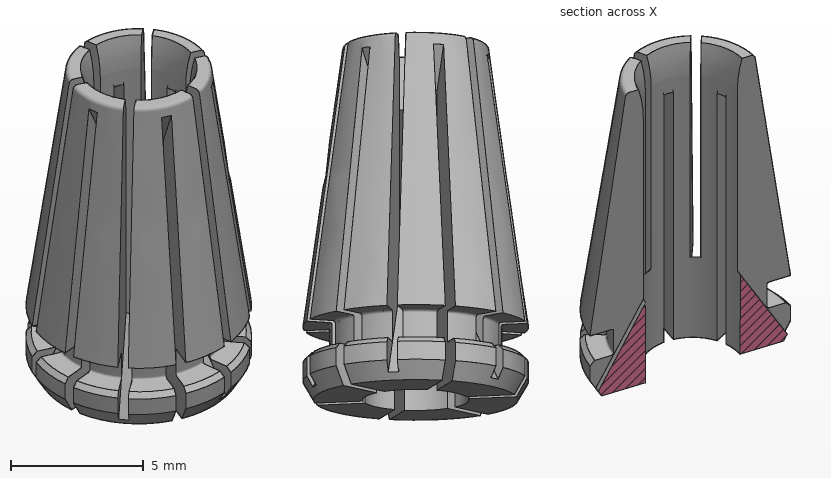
import cadquery as cq
import math

total_height = 13.6
max_radius = 4.25
bore_radius = 2.0

cone_base_z = 2.8
cone_half_angle = 8.0
cone_top_fillet = 0.2

groove_radius = 3.25
groove_fillet = 0.1

collar_top_z = 1.6
collar_top_chamfer = 0.2
collar_taper_height = 0.7
collar_taper_angle = 30.0

mouth_radius = 2.2
mouth_depth = 1.4

slots_per_end = 6
slot_width = 0.4
slot_pitch = 360.0 / slots_per_end
slot_overrun = 1.0
slot_reach = max_radius + slot_overrun
top_slot_floor_z = 3.75
top_slot_floor_slope = -math.tan(math.radians(60.0))
base_slot_floor_z = 11.53
base_slot_floor_slope = 2.0

cone_top_radius = max_radius - (total_height - cone_base_z) * math.tan(math.radians(cone_half_angle))
collar_base_radius = max_radius - collar_taper_height * math.tan(math.radians(collar_taper_angle))
mouth_step = mouth_radius - bore_radius
mouth_arc_radius = (mouth_depth**2 + mouth_step**2) / (2 * mouth_step)


def revolve_about_z(profile):
    return profile.close().revolve(360, (0, 0, 0), (0, 1, 0))


def solid_body():
    """Cone, groove and collar, without the bore."""
    profile = (
        cq.Workplane("XZ")
        .moveTo(0, 0)
        .lineTo(collar_base_radius, 0)
        .lineTo(max_radius, collar_taper_height)
        .lineTo(max_radius, collar_top_z - collar_top_chamfer)
        .lineTo(max_radius - collar_top_chamfer, collar_top_z)
        .lineTo(groove_radius, collar_top_z)
        .lineTo(groove_radius, cone_base_z)
        .lineTo(max_radius, cone_base_z)
        .lineTo(cone_top_radius, total_height)
        .lineTo(0, total_height)
    )
    body = revolve_about_z(profile)
    body = body.faces(">Z").edges().fillet(cone_top_fillet)
    groove_band = cq.selectors.BoxSelector(
        (-max_radius, -max_radius, collar_top_z - groove_fillet),
        (max_radius, max_radius, cone_base_z + groove_fillet),
    )
    smallest_circles = cq.selectors.RadiusNthSelector(0)
    groove_corners = body.edges(groove_band).edges("%CIRCLE").edges(smallest_circles)
    return groove_corners.fillet(groove_fillet)


def bore():
    """Through bore whose mouth flares along an arc tangent to the bore wall."""
    mouth_start_z = total_height - mouth_depth
    half_turn = math.asin(mouth_depth / mouth_arc_radius) / 2
    arc_mid = (
        bore_radius + mouth_arc_radius * (1 - math.cos(half_turn)),
        mouth_start_z + mouth_arc_radius * math.sin(half_turn),
    )
    profile = (
        cq.Workplane("XZ")
        .moveTo(0, 0)
        .lineTo(bore_radius, 0)
        .lineTo(bore_radius, mouth_start_z)
        .threePointArc(arc_mid, (mouth_radius, total_height))
        .lineTo(0, total_height)
    )
    return revolve_about_z(profile)


def radial_slot(floor_z, floor_slope, open_end_z, angle):
    """Slot along one radius, between a sloping floor and an open end of the collet."""
    reach_z = floor_z + floor_slope * (slot_reach - bore_radius)
    axis_z = floor_z - floor_slope * bore_radius
    outline = [(0, axis_z), (slot_reach, reach_z), (slot_reach, open_end_z), (0, open_end_z)]
    blade = cq.Workplane("XZ").polyline(outline).close().extrude(slot_width / 2, both=True)
    return blade.rotate((0, 0, 0), (0, 0, 1), angle)


result = solid_body().cut(bore())

top_open_z = total_height + slot_overrun
base_open_z = -slot_overrun

for index in range(slots_per_end):
    base_angle = index * slot_pitch
    top_angle = base_angle + slot_pitch / 2
    result = result.cut(radial_slot(top_slot_floor_z, top_slot_floor_slope, top_open_z, top_angle))
    result = result.cut(radial_slot(base_slot_floor_z, base_slot_floor_slope, base_open_z, base_angle))